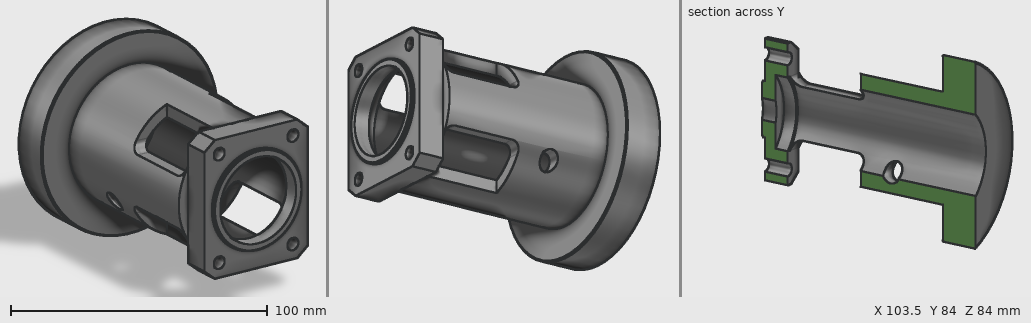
import cadquery as cq

flange_end = 16.1
tube_end = 91.0
plate_end = 102.0
overall_length = 103.5

flange_diameter = 84.0
tube_diameter = 58.0
spigot_diameter = 42.0
bore_diameter = 48.0
seat_diameter = 46.0
outlet_diameter = 36.0
seat_end = 96.9
flange_chamfer = 0.5
spigot_chamfer = 0.5

plate_width = 49.1
plate_height = tube_diameter
plate_corner_y = 5.0
plate_corner_z = 4.1
screw_diameter = 5.2
screw_y = 17.5
screw_z = 22.7

window_start = 55.8
window_y = 10.1
window_z = 11.0
window_radius = 4.1

cross_diameter = 8.0
cross_x = 41.2
cross_z = -14.9


def cylinder(diameter, start, end):
    """Solid cylinder on the X axis between two axial stations."""
    return cq.Workplane("YZ", origin=(start, 0, 0)).circle(diameter / 2).extrude(end - start)


def end_plate():
    """Rectangular plate with its four corners cut off."""
    half_y = plate_width / 2
    half_z = plate_height / 2
    flat_y = half_y - plate_corner_y
    flat_z = half_z - plate_corner_z
    outline = [
        (flat_y, half_z), (half_y, flat_z), (half_y, -flat_z), (flat_y, -half_z),
        (-flat_y, -half_z), (-half_y, -flat_z), (-half_y, flat_z), (-flat_y, half_z),
    ]
    plane = cq.Workplane("YZ", origin=(tube_end, 0, 0))
    return plane.polyline(outline).close().extrude(plate_end - tube_end)


def window(side_y, side_z):
    """Corner cutter, open outward, rounded where it meets its flat floor."""
    reach = tube_diameter / 2
    length = tube_end - window_start
    cutter = cq.Workplane("XY").box(length, reach, reach, centered=False)
    cutter = cutter.edges("|Y and <Z").fillet(window_radius)
    cutter = cutter.translate((window_start, window_y, window_z))
    if side_y < 0:
        cutter = cutter.mirror("XZ")
    if side_z < 0:
        cutter = cutter.mirror("XY")
    return cutter


flange = cylinder(flange_diameter, 0, flange_end).edges().chamfer(flange_chamfer)
tube = cylinder(tube_diameter, flange_end, tube_end)
spigot = cylinder(spigot_diameter, plate_end, overall_length).edges(">X").chamfer(spigot_chamfer)
tube = tube.union(flange)

for side_y in (-1, 1):
    for side_z in (-1, 1):
        tube = tube.cut(window(side_y, side_z))
body = tube.union(end_plate()).union(spigot)

body = body.cut(cylinder(bore_diameter, 0, tube_end))
body = body.cut(cylinder(seat_diameter, tube_end, seat_end))
body = body.cut(cylinder(outlet_diameter, seat_end, overall_length))

for side_y in (-1, 1):
    for side_z in (-1, 1):
        screw = cylinder(screw_diameter, tube_end, plate_end)
        body = body.cut(screw.translate((0, side_y * screw_y, side_z * screw_z)))

cross_plane = cq.Workplane("XZ", origin=(cross_x, 0, cross_z))
cross_hole = cross_plane.circle(cross_diameter / 2).extrude(tube_diameter / 2, both=True)
result = body.cut(cross_hole)